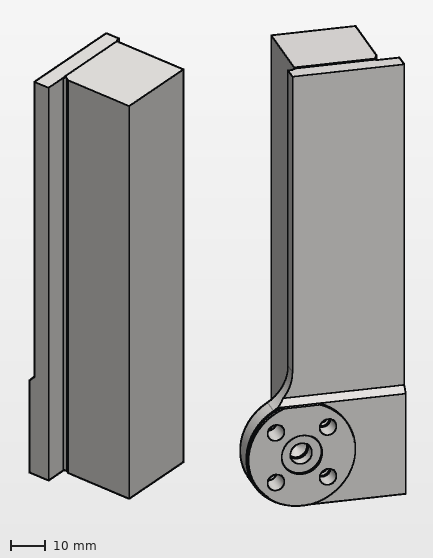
import cadquery as cq
import math

total_depth = 32.8
total_height = 134.0
total_width = 47.7

disc_height = 1.2
upper_face_x = 3.0
free_edge_back_x = 8.2
lobe_back_x = 7.8
plate_back_x = 8.5

lobe_radius = 16.4
lobe_y = total_width - lobe_radius
lobe_z = lobe_radius
plate_width = 33.4
end_offset = 0.4
plate_height = total_height - end_offset
blend_radius = 12.3
slope_bottom_z = 31.4
slope_height = 2.0
slope_top_z = slope_bottom_z + slope_height

housing_y_min = 6.2
housing_y_max = 31.4
neck_inset = 0.7
neck_end_x = 9.4
neck_slope_end_x = 10.5
lobe_step_y = housing_y_max + plate_back_x - lobe_back_x

disc_radius = 16.0
hole_offset = 7.8
hole_diameter = 5.0
hole_core_diameter = 4.2
hole_entry_depth = 6.0
hole_core_depth = 8.0
recess_diameter = 12.0
recess_depth = 1.0
center_diameter = 6.5
center_core_diameter = 6.0
center_entry_depth = 5.0
center_core_depth = 5.6
drill_half_angle = 59.0


def make_plate():
    """Plate with a round lobe, cut to its stepped front and back levels."""
    blend_y = plate_width + blend_radius
    blend_angle = math.acos((blend_y - lobe_y) / (lobe_radius + blend_radius))
    blend_z = lobe_z + (lobe_radius + blend_radius) * math.sin(blend_angle)
    tangent = (
        lobe_y + lobe_radius * math.cos(blend_angle),
        lobe_z + lobe_radius * math.sin(blend_angle),
    )
    middle_angle = blend_angle / 2
    blend_middle = (
        blend_y - blend_radius * math.cos(middle_angle),
        blend_z - blend_radius * math.sin(middle_angle),
    )
    outline = (
        cq.Workplane("YZ")
        .moveTo(0, 0)
        .lineTo(lobe_y, 0)
        .threePointArc((total_width, lobe_z), tangent)
        .threePointArc(blend_middle, (plate_width, blend_z))
        .lineTo(plate_width, plate_height)
        .lineTo(0, plate_height)
        .close()
        .extrude(plate_back_x)
    )
    front_levels = (
        cq.Workplane("XZ")
        .polyline([
            (disc_height, 0),
            (disc_height, slope_bottom_z),
            (upper_face_x, slope_top_z),
            (upper_face_x, plate_height),
            (plate_back_x, plate_height),
            (plate_back_x, 0),
        ])
        .close()
        .extrude(-total_width)
    )
    neck_y = housing_y_min + neck_inset
    back_levels = (
        cq.Workplane("XY")
        .polyline([
            (0, 0),
            (free_edge_back_x, 0),
            (free_edge_back_x, neck_y),
            (plate_back_x, neck_y),
            (plate_back_x, housing_y_max),
            (lobe_back_x, lobe_step_y),
            (lobe_back_x, total_width),
            (0, total_width),
        ])
        .close()
        .extrude(plate_height)
    )
    return outline.intersect(front_levels).intersect(back_levels)


def make_housing():
    """Rectangular housing narrowed on one side where it meets the plate."""
    neck_y = housing_y_min + neck_inset
    return (
        cq.Workplane("XY")
        .workplane(offset=end_offset)
        .polyline([
            (plate_back_x, neck_y),
            (neck_end_x, neck_y),
            (neck_slope_end_x, housing_y_min),
            (total_depth, housing_y_min),
            (total_depth, housing_y_max),
            (plate_back_x, housing_y_max),
        ])
        .close()
        .extrude(total_height - end_offset)
    )


def make_lobe_cylinder(radius, length, y_offset=0.0, z_offset=0.0):
    """Cylinder along X from the disc face, placed relative to the lobe centre."""
    return (
        cq.Workplane("YZ")
        .center(lobe_y + y_offset, lobe_z + z_offset)
        .circle(radius)
        .extrude(length)
    )


def make_blind_hole(diameter, depth, y_offset=0.0, z_offset=0.0):
    """Blind hole along X ending in a drill point."""
    radius = diameter / 2
    tip_depth = depth + radius / math.tan(math.radians(drill_half_angle))
    center_y = lobe_y + y_offset
    center_z = lobe_z + z_offset
    return (
        cq.Workplane("XY", origin=(0, center_y, center_z))
        .polyline([(0, 0), (0, radius), (depth, radius), (tip_depth, 0)])
        .close()
        .revolve(360, (0, 0, 0), (1, 0, 0))
    )


disc_trim = cq.Workplane("XY").box(upper_face_x, total_width, slope_bottom_z, centered=False)
disc = make_lobe_cylinder(disc_radius, upper_face_x).intersect(disc_trim)
result = make_plate().union(make_housing()).union(disc)

result = result.cut(make_lobe_cylinder(recess_diameter / 2, recess_depth))
result = result.cut(make_lobe_cylinder(center_diameter / 2, center_entry_depth))
result = result.cut(make_blind_hole(center_core_diameter, center_core_depth))

for z_side in (-hole_offset, hole_offset):
    result = result.cut(make_lobe_cylinder(hole_diameter / 2, plate_back_x, hole_offset, z_side))
    result = result.cut(make_lobe_cylinder(hole_diameter / 2, hole_entry_depth, -hole_offset, z_side))
    result = result.cut(make_blind_hole(hole_core_diameter, hole_core_depth, -hole_offset, z_side))